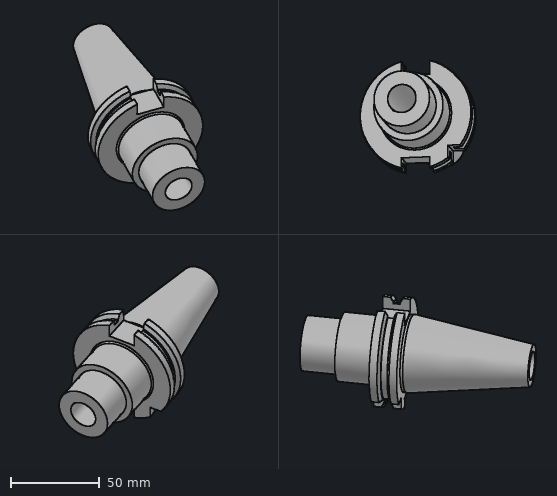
import cadquery as cq

total_length = 130.3
gauge_x = 68.3
gauge_band_end_x = 70.0
flange_start_x = 71.5
flange_end_x = 87.4
body_end_x = 109.5

small_end_radius = 12.2
gauge_radius = 22.3
neck_radius = 22.2
flange_radius = 31.8
body_radius = 19.8
nose_radius = 15.9
bore_radius = 8.1
body_chamfer = 0.9

groove_top_start_x = 76.0
groove_start_x = 77.5
groove_end_x = 81.3
groove_top_end_x = 82.9
groove_wall_radius = 29.2
groove_floor_radius = 28.0

slot_width = 16.2
top_slot_floor = 22.9
bottom_slot_floor = 24.9
notch_offset = 18.6


def turned_body():
    """Revolve the half profile, bore included, about the X axis."""
    profile = [
        (0, bore_radius),
        (0, small_end_radius),
        (gauge_x, gauge_radius),
        (gauge_band_end_x, gauge_radius),
        (gauge_band_end_x, neck_radius),
        (flange_start_x, neck_radius),
        (flange_start_x, flange_radius),
        (groove_top_start_x, flange_radius),
        (groove_start_x, groove_wall_radius),
        (groove_start_x, groove_floor_radius),
        (groove_end_x, groove_floor_radius),
        (groove_end_x, groove_wall_radius),
        (groove_top_end_x, flange_radius),
        (flange_end_x, flange_radius),
        (flange_end_x, body_radius + body_chamfer),
        (flange_end_x + body_chamfer, body_radius),
        (body_end_x, body_radius),
        (body_end_x, nose_radius),
        (total_length, nose_radius),
        (total_length, bore_radius),
    ]
    return cq.Workplane("XY").polyline(profile).close().revolve(360, (0, 0, 0), (1, 0, 0))


def flange_cut(y_min, y_max, z_min, z_max):
    """Return a rectangular cutter that spans the full flange width."""
    size = (flange_end_x - flange_start_x, y_max - y_min, z_max - z_min)
    corner = (flange_start_x, y_min, z_min)
    return cq.Workplane("XY").box(*size, centered=False).translate(corner)


half_slot = slot_width / 2
top_slot = flange_cut(-half_slot, half_slot, top_slot_floor, flange_radius)
bottom_slot = flange_cut(-half_slot, half_slot, -flange_radius, -bottom_slot_floor)
notch = flange_cut(notch_offset, flange_radius, -flange_radius, -notch_offset)

result = turned_body().cut(top_slot).cut(bottom_slot).cut(notch)